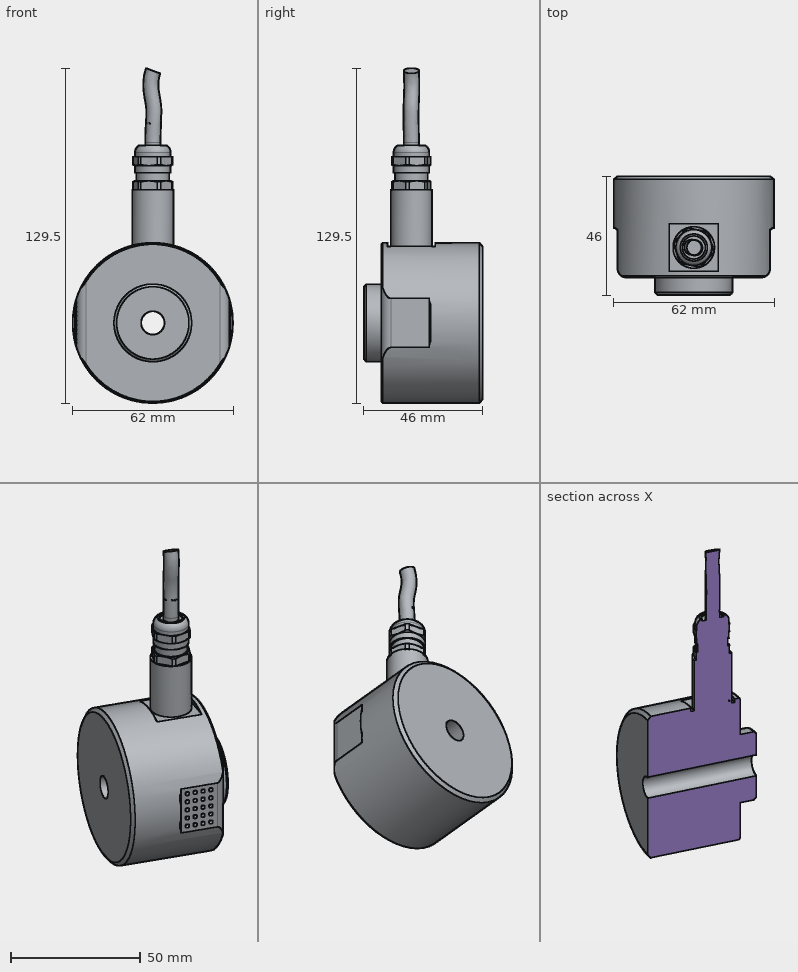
import cadquery as cq
import math


disc_diameter = 62.0
disc_depth = 39.2
overall_depth = 46.0
overall_height = 129.5
back_chamfer_axial = 1.3
back_chamfer_radial = 1.5
front_chamfer = 0.6
boss_diameter = 30.0
boss_chamfer = 1.0
bore_diameter = 9.0

flat_offset = 29.5
flat_back = -20.1
flat_front = -35.6
flat_back_fillet = 0.6
seat_width = 19.3
seat_depth = 18.4
outlet_y = -27.6

dimple_diameter = 1.5
dimple_columns = 4
dimple_rows = 5
column_pitch = 3.2
row_pitch = 3.5
dimple_center_y = -28.2

tube_diameter = 16.0
tube_top = 51.4
hex_across_flats = 14.0
hex_round_diameter = 15.4
hex_chamfer_diameter = 13.9
hex_corner_angle = 48
lower_nut_top = 54.9
neck_diameter = 12.8
collar_bottom = 58.0
upper_nut_bottom = 60.7
upper_nut_top = 64.2
cap_diameter = 13.9
cap_straight_top = 65.9
cap_top = 68.7
cap_rim_diameter = 10.5
cap_recess_diameter = 9.0
cap_recess_depth = 0.6

cable_diameter = 6.0
cable_straight_top = 69.8
cable_end_tilt = 20.5
cable_end_x = 0.1
cable_bends = [(0.3, -0.1, 77.1), (0.4, -0.1, 82.9), (-0.8, 0.1, 92.4)]


def cylinder_along_y(diameter, back, front):
    """Cylinder on the disc axis from Y = back to Y = front, with front < back."""
    return cq.Workplane("XZ", origin=(0, back, 0)).circle(diameter / 2).extrude(back - front)


def cylinder_on_outlet(diameter, bottom, top):
    """Cylinder on the outlet axis between two heights."""
    return cq.Workplane("XY", origin=(0, outlet_y, bottom)).circle(diameter / 2).extrude(top - bottom)


def disc_body():
    """Chamfered disc with the round boss on its front face."""
    disc = cylinder_along_y(disc_diameter, 0, -disc_depth)
    disc = disc.faces(">Y").chamfer(back_chamfer_axial, back_chamfer_radial)
    disc = disc.faces("<Y").chamfer(front_chamfer)
    boss = cylinder_along_y(boss_diameter, -disc_depth, -overall_depth)
    boss = boss.faces("<Y").chamfer(boss_chamfer)
    return disc.union(boss)


def flat_cutter(side):
    """Cutter for one side flat, which curves inward to the front face; side is +1 or -1."""
    outside = side * disc_diameter
    blend = disc_depth + flat_front
    blend_middle = blend * math.sqrt(0.5)
    front_x = flat_offset - blend
    return (
        cq.Workplane("XY", origin=(0, 0, -disc_diameter / 2))
        .moveTo(outside, flat_back)
        .lineTo(side * (flat_offset + flat_back_fillet), flat_back)
        .radiusArc((side * flat_offset, flat_back - flat_back_fillet), side * flat_back_fillet)
        .lineTo(side * flat_offset, flat_front)
        .threePointArc(
            (side * (front_x + blend_middle), flat_front - blend_middle),
            (side * front_x, -disc_depth),
        )
        .lineTo(outside, -disc_depth)
        .close()
        .extrude(disc_diameter)
    )


def seat_cutter():
    """Box that levels the top of the disc at the same offset as the side flats."""
    seat_plane = cq.Workplane("XY", origin=(0, outlet_y, flat_offset))
    return seat_plane.rect(seat_width, seat_depth).extrude(disc_diameter / 2 - flat_offset)


def dimple_cutter():
    """Spheres centred on the left flat, each leaving a hemispherical dimple."""
    return (
        cq.Workplane("YZ", origin=(-flat_offset, dimple_center_y, 0))
        .rarray(column_pitch, row_pitch, dimple_columns, dimple_rows)
        .sphere(dimple_diameter / 2)
    )


def hex_nut(bottom, top, chamfered_face):
    """Hexagonal nut with rounded corners and one chamfered end."""
    corner_diameter = hex_across_flats / math.cos(math.radians(30))
    chamfer_radial = (hex_round_diameter - hex_chamfer_diameter) / 2
    chamfer_axial = chamfer_radial * math.tan(math.radians(30))
    hexagon = (
        cq.Workplane("XY", origin=(0, outlet_y, bottom))
        .transformed(rotate=(0, 0, hex_corner_angle))
        .polygon(6, corner_diameter)
        .extrude(top - bottom)
    )
    rounding = cylinder_on_outlet(hex_round_diameter, bottom, top)
    rounding = rounding.faces(chamfered_face).chamfer(chamfer_axial, chamfer_radial)
    return hexagon.intersect(rounding)


def gland_cap():
    """Domed cap with a flat rim and a shallow recess around the cable."""
    radius = cap_diameter / 2
    rim_radius = cap_rim_diameter / 2
    recess_radius = cap_recess_diameter / 2
    recess_floor = cap_top - cap_recess_depth
    return (
        cq.Workplane("XZ", origin=(0, outlet_y, 0))
        .moveTo(0, upper_nut_top)
        .lineTo(radius, upper_nut_top)
        .lineTo(radius, cap_straight_top)
        .tangentArcPoint((rim_radius, cap_top), relative=False)
        .lineTo(recess_radius, cap_top)
        .lineTo(recess_radius, recess_floor)
        .lineTo(0, recess_floor)
        .close()
        .revolve(360, (0, 0), (0, 1))
    )


def cable():
    """Cable leaving the gland straight, then bending to a tilted cut end."""
    tilt = math.radians(cable_end_tilt)
    straight_bottom = cap_top - 2 * cap_recess_depth
    straight = cylinder_on_outlet(cable_diameter, straight_bottom, cable_straight_top)
    end_z = overall_height - disc_diameter / 2 - cable_diameter / 2 * math.sin(tilt)
    points = [(0, 0, cable_straight_top)] + cable_bends + [(cable_end_x, 0, end_z)]
    path = cq.Workplane("XY", origin=(0, outlet_y, 0)).spline(
        points, tangents=[(0, 0, 1), (math.sin(tilt), 0, math.cos(tilt))]
    )
    start = cq.Workplane("XY", origin=(0, outlet_y, cable_straight_top)).circle(cable_diameter / 2)
    return straight.union(start.sweep(path))


body = disc_body().cut(flat_cutter(-1)).cut(flat_cutter(1)).cut(seat_cutter()).cut(dimple_cutter())
body = body.cut(cylinder_along_y(bore_diameter, 0, -overall_depth))

tube = cylinder_on_outlet(tube_diameter, flat_offset, tube_top)
lower_nut = hex_nut(tube_top, lower_nut_top, ">Z")
neck = cylinder_on_outlet(neck_diameter, lower_nut_top, collar_bottom)
collar = cylinder_on_outlet(cap_diameter, collar_bottom, upper_nut_bottom)
upper_nut = hex_nut(upper_nut_bottom, upper_nut_top, "<Z")

result = body
for section in (tube, lower_nut, neck, collar, upper_nut, gland_cap(), cable()):
    result = result.union(section)